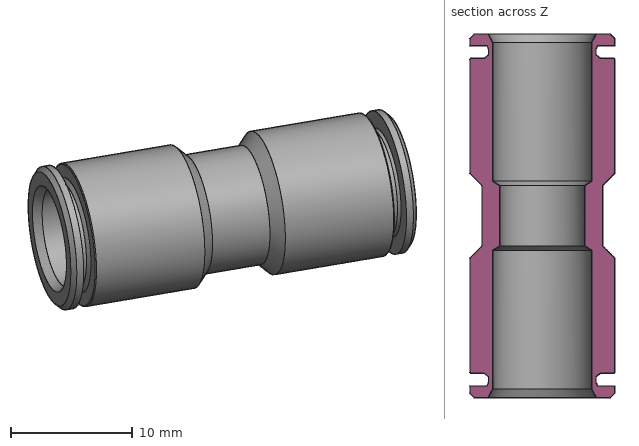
import cadquery as cq

length = 30.0
outer_radius = 12.0 / 2
waist_radius = 10.0 / 2
neck_radius = 8.9 / 2
mouth_radius = 8.9 / 2
bore_radius = 8.15 / 2
passage_radius = 7.0 / 2

end = length / 2
waist_half_length = 2.5
shoulder_end = waist_half_length + outer_radius - waist_radius
flange_thickness = 1.0
flange_chamfer = 0.4
flange_inner = end - flange_thickness
gap_width = 1.02
body_end = flange_inner - gap_width
body_chamfer = 0.1
collar_length = 0.27
collar_height = 0.35
root_length = 0.27
root_height = 0.12
mouth_depth = 0.72
stop_half_length = waist_half_length
stop_depth = 0.35


def revolve_profile(half_profile):
    """Mirror a (radius, axial distance) profile about the middle and revolve it about Y."""
    mirrored = [(radius, -distance) for radius, distance in reversed(half_profile)]
    outline = half_profile + mirrored
    return cq.Workplane("XY").polyline(outline).close().revolve(360, (0, 0, 0), (0, 1, 0))


def coupling_body():
    """Solid body with shoulders, necks and end flanges."""
    profile = [
        (waist_radius, waist_half_length),
        (outer_radius, shoulder_end),
        (outer_radius, body_end - body_chamfer),
        (outer_radius - body_chamfer, body_end),
        (neck_radius + collar_height, body_end),
        (neck_radius, body_end + collar_length),
        (neck_radius, flange_inner - root_length),
        (neck_radius + root_height, flange_inner),
        (outer_radius, flange_inner),
        (outer_radius, end - flange_chamfer),
        (outer_radius - flange_chamfer, end),
        (0, end),
    ]
    return revolve_profile(profile)


def through_bore():
    """Passage, conical tube stop, tube bore and tapered mouth at both ends."""
    profile = [
        (passage_radius, stop_half_length),
        (bore_radius, stop_half_length + stop_depth),
        (bore_radius, end - mouth_depth),
        (mouth_radius, end),
        (0, end),
    ]
    return revolve_profile(profile)


result = coupling_body().cut(through_bore())